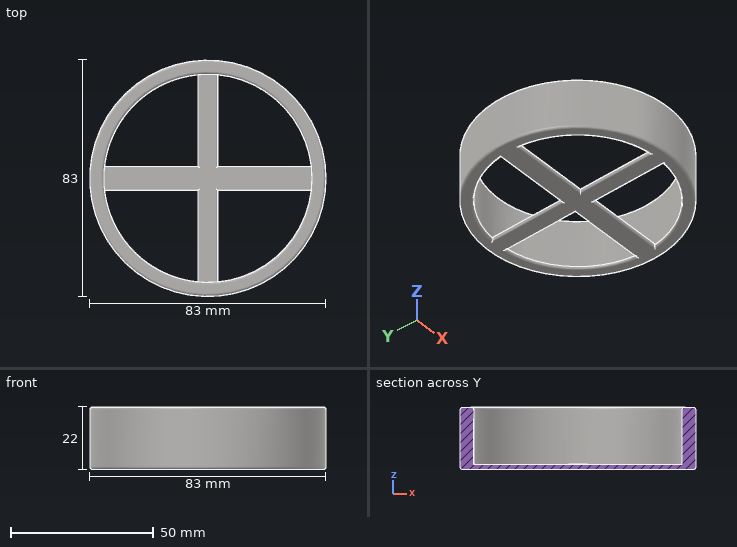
import cadquery as cq

outer_diameter = 83.0
inner_diameter = 73.0
height = 22.0
ring_edge_radius = 1.0

bar_width_along_x = 8.5
bar_width_along_y = 7.0
bar_thickness = 2.0
bar_edge_radius = 0.6

bar_length = (outer_diameter + inner_diameter) / 2


def make_ring():
    """Round tube with all four rim edges rounded."""
    tube = cq.Workplane("XY").circle(outer_diameter / 2).circle(inner_diameter / 2).extrude(height)
    return tube.faces("<Z or >Z").edges().fillet(ring_edge_radius)


def make_cross():
    """Two crossing bars with their upper and lower long edges rounded."""
    bar_x = cq.Workplane("XY").rect(bar_length, bar_width_along_x).extrude(bar_thickness)
    bar_y = cq.Workplane("XY").rect(bar_width_along_y, bar_length).extrude(bar_thickness)
    cross = bar_x.union(bar_y)
    return cross.faces("<Z or >Z").edges().fillet(bar_edge_radius)


result = make_ring().union(make_cross())